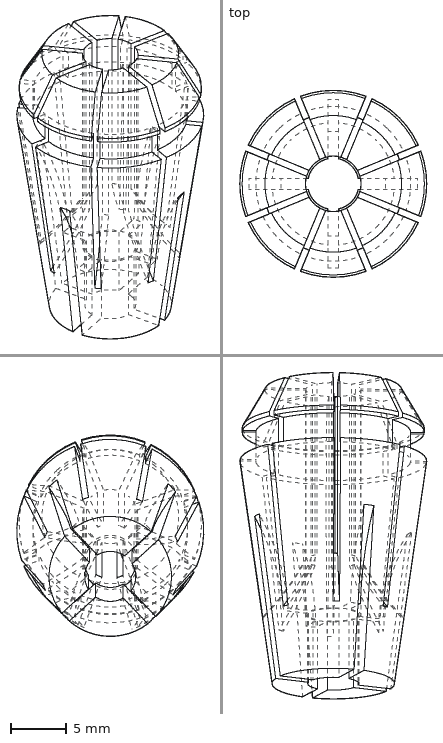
import cadquery as cq
import math

total_height = 27.5
groove_bottom = 20.82
groove_top = 23.5
rim_top = 23.92

body_radius = 8.47
neck_radius = 7.0
head_radius = 8.25
body_taper = math.radians(8)
head_taper = math.radians(30)
tail_radius = body_radius - groove_bottom * math.tan(body_taper)
face_radius = head_radius - (total_height - rim_top) * math.tan(head_taper)

bore_radius = 2.5
tail_bore_radius = 2.3

tail_slot_count = 4
tail_slot_width = 1.0
tail_slot_inner_z = 6.44
tail_slot_inner_radius = 4.73
tail_slot_outer_z = 14.93
tail_slot_arc = 18.15

head_slot_count = 8
head_slot_width = 0.58
head_slot_inner_z = 11.55
head_slot_outer_z = 6.08
head_slot_arc = 24.75

clearance = 0.55


def body_radius_at(z):
    """Outer radius of the tapered body at height z."""
    return tail_radius + z * math.tan(body_taper)


def make_collet_blank():
    """Turned outer shape without bore or slots."""
    profile = (
        cq.Workplane("YZ")
        .polyline([
            (0, 0),
            (tail_radius, 0),
            (body_radius, groove_bottom),
            (neck_radius, groove_bottom),
            (neck_radius, groove_top),
            (head_radius, groove_top),
            (head_radius, rim_top),
            (face_radius, total_height),
            (0, total_height),
        ])
        .close()
    )
    return profile.revolve(360, (0, 0, 0), (0, 1, 0))


def make_bore():
    """Stepped through bore, widening where the tail slots reach it."""
    tail_bore = cq.Workplane("XY").circle(tail_bore_radius).extrude(total_height)
    main_bore = (
        cq.Workplane("XY", origin=(0, 0, tail_slot_inner_z))
        .circle(bore_radius)
        .extrude(total_height - tail_slot_inner_z)
    )
    return tail_bore.union(main_bore)


def make_slot(open_z, inner_radius, inner_z, outer_z, arc_radius, width):
    """Radial slot along +X, open at open_z and ending in an arc from inner_radius to the outside."""
    outer_radius = body_radius_at(outer_z)
    reach = body_radius + clearance
    signed_radius = math.copysign(arc_radius, inner_z - open_z)
    profile = (
        cq.Workplane("XZ")
        .moveTo(0, open_z)
        .lineTo(0, inner_z)
        .lineTo(inner_radius, inner_z)
        .radiusArc((outer_radius, outer_z), signed_radius)
        .lineTo(reach, outer_z)
        .lineTo(reach, open_z)
        .close()
    )
    return profile.extrude(width / 2, both=True)


def cut_slots(part, slot, count, first_angle):
    """Cut evenly spaced copies of a slot around the axis."""
    pitch = 360 / count
    for index in range(count):
        angle = first_angle + index * pitch
        part = part.cut(slot.rotate((0, 0, 0), (0, 0, 1), angle))
    return part


tail_slot = make_slot(
    -clearance,
    tail_slot_inner_radius,
    tail_slot_inner_z,
    tail_slot_outer_z,
    tail_slot_arc,
    tail_slot_width,
)
head_slot = make_slot(
    total_height + clearance,
    bore_radius,
    head_slot_inner_z,
    head_slot_outer_z,
    head_slot_arc,
    head_slot_width,
)

result = make_collet_blank().cut(make_bore())
result = cut_slots(result, tail_slot, tail_slot_count, 0)
result = cut_slots(result, head_slot, head_slot_count, 180 / head_slot_count)